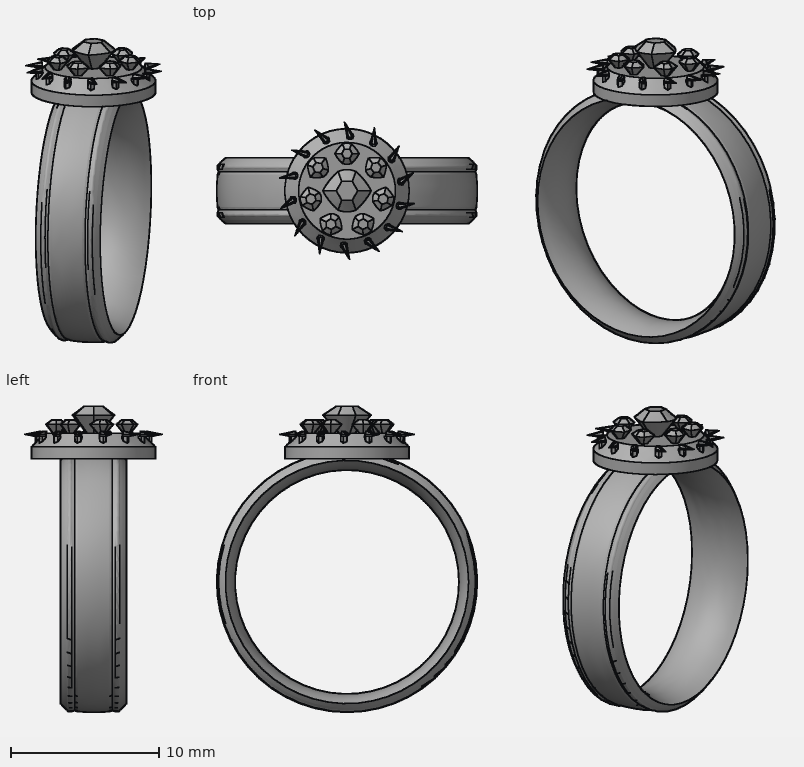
import cadquery as cq
import math

band_radius = 8.8
inner_radius = 7.54
half_width = 2.23
side_radius = 8.2

bevel_lower = (8.49, 1.96)
bevel_upper = (8.65, 1.78)
shoulder_crest = (8.75, 1.63)
shoulder_end = (8.73, 1.47)
groove_bottom = (8.67, 1.28)
groove_round = (8.71, 1.18)
crown_edge = (8.73, 1.1)

head_radius = 4.2
head_bottom = 8.3
rim_top = 9.1
head_top = 10.04
bevel = head_top - rim_top

stone_radius = 1.63
blunt_corner = (0.6, 1.3)
long_side_middle = (1.18, 0.7)
short_side_middle = (0, 1.42)
stone_table_radius = 0.72
stone_top = 11.85
crown_height = 0.6
pavilion_height = 1.82
pavilion_share = 0.75
small_scale = 0.5
small_stone_top = 10.92
small_count = 7
small_ring_radius = 2.5
first_small_angle = 90

spike_count = 14
first_spike_angle = 86.3
spike_ring_radius = 3.61
spike_twist = 25.5
spike_length = 1.1
spike_radius = 0.23
spike_height = 9.95
post_radius = 0.25
post_offset = 0.08
post_top = 9.83
post_bottom = 9.2


def band():
    """Revolve a crowned, grooved section with a convex bore about the Y axis."""

    def mirrored(point):
        return (point[0], -point[1])

    section = (
        cq.Workplane("XY")
        .moveTo(side_radius, half_width)
        .lineTo(*bevel_lower)
        .lineTo(*bevel_upper)
        .threePointArc(shoulder_crest, shoulder_end)
        .lineTo(*groove_bottom)
        .threePointArc(groove_round, crown_edge)
        .threePointArc((band_radius, 0), mirrored(crown_edge))
        .threePointArc(mirrored(groove_round), mirrored(groove_bottom))
        .lineTo(*mirrored(shoulder_end))
        .threePointArc(mirrored(shoulder_crest), mirrored(bevel_upper))
        .lineTo(*mirrored(bevel_lower))
        .lineTo(side_radius, -half_width)
        .threePointArc((inner_radius, 0), (side_radius, half_width))
        .close()
    )
    return section.revolve(360, (0, 0, 0), (0, 1, 0))


def head():
    """Disc with a 45 degree bevel around its top."""
    base = cq.Workplane("XY").workplane(offset=head_bottom).circle(head_radius)
    disc = base.extrude(head_top - head_bottom)
    return disc.faces(">Z").chamfer(bevel)


def hexagon_points(radius):
    """Corners of a hexagon, the first on the X axis."""
    angles = [math.radians(60 * corner) for corner in range(6)]
    return [(radius * math.cos(angle), radius * math.sin(angle)) for angle in angles]


def pyramid(radius, height):
    """Hexagonal pyramid on the XY plane with its apex up the Z axis."""
    base = [cq.Vector(x, y, 0) for x, y in hexagon_points(radius)]
    apex = cq.Vector(0, 0, height)
    faces = [cq.Face.makeFromWires(cq.Wire.makePolygon(base, close=True))]
    for corner, following in zip(base, base[1:] + base[:1]):
        faces.append(cq.Face.makeFromWires(cq.Wire.makePolygon([corner, following, apex], close=True)))
    return cq.Workplane(obj=cq.Solid.makeSolid(cq.Shell.makeShell(faces)))


def girdle(height, scale):
    """Girdle outline at a given height: two sharp and four blunt corners joined by bowed sides."""

    def place(point, x_side, y_side):
        return (scale * x_side * point[0], scale * y_side * point[1])

    outline = cq.Workplane("XY").workplane(offset=height).moveTo(scale * stone_radius, 0)
    for side in (1, -1):
        outline = (
            outline.threePointArc(place(long_side_middle, side, side), place(blunt_corner, side, side))
            .threePointArc(place(short_side_middle, 1, side), place(blunt_corner, -side, side))
            .threePointArc(place(long_side_middle, -side, side), (-side * scale * stone_radius, 0))
        )
    return outline.close().val()


def stone(scale, top):
    """Cut stone on the Z axis: a flat table, a tapered crown and a tapering pavilion."""
    girdle_height = top - scale * crown_height
    table_points = hexagon_points(scale * stone_table_radius)
    table = cq.Workplane("XY").workplane(offset=top).polyline(table_points).close().val()
    pavilion_bottom = girdle_height - scale * pavilion_share * pavilion_height
    middle = girdle(girdle_height, scale)
    base = girdle(pavilion_bottom, scale * (1 - pavilion_share))
    crown = cq.Workplane(obj=cq.Solid.makeLoft([middle, table], True))
    pavilion = cq.Workplane(obj=cq.Solid.makeLoft([base, middle], True))
    return crown.union(pavilion)


def spike():
    """Level spike pointing along +X from the Z axis, with the post that holds it."""
    point = pyramid(spike_radius, spike_length)
    point = point.rotate((0, 0, 0), (0, 0, 1), 90).rotate((0, 0, 0), (0, 1, 0), 90)
    point = point.translate((0, 0, spike_height))
    post = (
        cq.Workplane("XY")
        .polyline(hexagon_points(post_radius))
        .close()
        .extrude(post_top - post_bottom)
        .rotate((0, 0, 0), (0, 0, 1), 90)
        .translate((post_offset, 0, post_bottom))
    )
    return post.union(point)


def around_head(item, count, radius, first_angle):
    """Copies of an item spaced evenly around the head, each turned with its position."""
    placed = []
    for number in range(count):
        angle = first_angle + number * 360 / count
        placed.append(item.translate((radius, 0, 0)).rotate((0, 0, 0), (0, 0, 1), angle))
    return placed


result = band().union(head())
result = result.union(stone(1, stone_top))

small_stone = stone(small_scale, small_stone_top).rotate((0, 0, 0), (0, 0, 1), 90)
for item in around_head(small_stone, small_count, small_ring_radius, first_small_angle):
    result = result.union(item)

turned_spike = spike().rotate((0, 0, 0), (0, 0, 1), spike_twist)
for item in around_head(turned_spike, spike_count, spike_ring_radius, first_spike_angle):
    result = result.union(item)